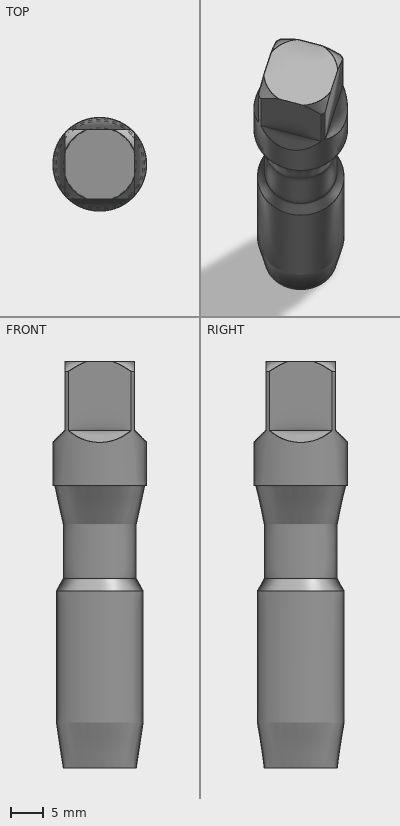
import cadquery as cq

total_height = 62.0

plug_diameter = 13.2
plug_height = 27.0
tip_diameter = 11.1
tip_height = 6.9

neck_diameter = 11.1
neck_bottom = 28.9
neck_top = 37.15
flare_top_diameter = 13.7
collar_bottom = 43.1
collar_diameter = 14.29

square_width = 10.6
square_length = 10.5
corner_chamfer = 1.5


def revolve_profile(half_profile):
    """Revolve a (radius, z) outline about the Z axis."""
    return cq.Workplane("XZ").polyline(half_profile).close().revolve(360, (0, 0), (0, 1))


def make_plug():
    return revolve_profile([
        (0, 0),
        (tip_diameter / 2, 0),
        (plug_diameter / 2, tip_height),
        (plug_diameter / 2, plug_height),
        (0, plug_height),
    ])


def make_flat_cutter():
    """Wedge that cuts the +X flat and the 45 degree slope at its foot."""
    flat_offset = square_width / 2
    flat_foot = total_height - square_length
    reach = collar_diameter - flat_offset
    return (
        cq.Workplane("XZ")
        .polyline([
            (flat_offset, total_height),
            (flat_offset, flat_foot),
            (flat_offset + reach, flat_foot - reach),
            (flat_offset + reach, total_height),
        ])
        .close()
        .extrude(collar_diameter, both=True)
    )


def make_shank():
    collar_radius = collar_diameter / 2
    shank = revolve_profile([
        (0, plug_height),
        (plug_diameter / 2, plug_height),
        (neck_diameter / 2, neck_bottom),
        (neck_diameter / 2, neck_top),
        (flare_top_diameter / 2, collar_bottom),
        (collar_radius, collar_bottom),
        (collar_radius, total_height - corner_chamfer),
        (collar_radius - corner_chamfer, total_height),
        (0, total_height),
    ])
    flat_cutter = make_flat_cutter()
    for angle in (0, 90, 180, 270):
        shank = shank.cut(flat_cutter.rotate((0, 0, 0), (0, 0, 1), angle))
    return shank


plug = make_plug()
shank = make_shank()

result = cq.Compound.makeCompound([plug.val(), shank.val()])